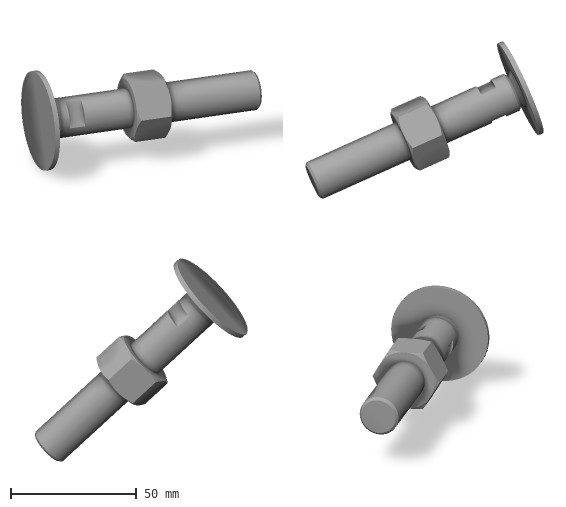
import cadquery as cq
import math

total_length = 92.0

plate_diameter = 40.0
plate_thickness = 2.0
neck_base_radius = 7.9
neck_height = 1.9
neck_top_radius = neck_base_radius - neck_height

stud_diameter = 16.0
stud_chamfer = 1.0
stud_start = plate_thickness + neck_height
stud_length = total_length - stud_start
flats_start = 10.5
flats_width = 6.5
across_flats = 12.0
flats_angle = 30.0

nut_sides = 6
nut_start = 37.5
nut_thickness = 14.8
nut_across_flats = 24.0
nut_across_corners = nut_across_flats / math.cos(math.pi / nut_sides)
nut_chamfer_angle = 30.0


def plane_at(height):
    """Plane across the axis, with its normal along +Y."""
    return cq.Plane(
        origin=(0, height - total_length / 2, 0),
        xDir=(1, 0, 0),
        normal=(0, 1, 0),
    )


def make_foot():
    plate = cq.Workplane(plane_at(0)).circle(plate_diameter / 2).extrude(plate_thickness)
    neck = (
        cq.Workplane(plane_at(plate_thickness))
        .circle(neck_base_radius)
        .workplane(offset=neck_height)
        .circle(neck_top_radius)
        .loft(ruled=True)
    )
    return plate.union(neck).solids()


def make_flats_cutter():
    """Everything around the stud outside a slab that spans the two parallel flats."""
    surround = cq.Workplane(plane_at(flats_start)).circle(stud_diameter).extrude(flats_width)
    slab = (
        cq.Workplane(plane_at(flats_start))
        .rect(across_flats, 2 * stud_diameter)
        .extrude(flats_width)
        .rotate((0, 0, 0), (0, 1, 0), -flats_angle)
    )
    return surround.cut(slab)


def make_stud():
    rod = (
        cq.Workplane(plane_at(stud_start))
        .circle(stud_diameter / 2)
        .extrude(stud_length)
        .faces("<Y or >Y")
        .chamfer(stud_chamfer)
    )
    return rod.cut(make_flats_cutter()).solids()


def make_nut():
    prism = (
        cq.Workplane(plane_at(nut_start))
        .polygon(nut_sides, nut_across_corners)
        .circle(stud_diameter / 2)
        .extrude(nut_thickness)
    )
    corner_depth = (nut_across_corners - nut_across_flats) / 2
    chamfer_height = corner_depth * math.tan(math.radians(nut_chamfer_angle))
    half_thickness = nut_thickness / 2
    envelope = (
        cq.Workplane("XY", origin=(0, nut_start + half_thickness - total_length / 2, 0))
        .moveTo(0, -half_thickness)
        .lineTo(nut_across_flats / 2, -half_thickness)
        .lineTo(nut_across_corners / 2, chamfer_height - half_thickness)
        .lineTo(nut_across_corners / 2, half_thickness - chamfer_height)
        .lineTo(nut_across_flats / 2, half_thickness)
        .lineTo(0, half_thickness)
        .close()
        .revolve(360, (0, 0, 0), (0, 1, 0))
    )
    return prism.intersect(envelope).solids()


foot = make_foot()
stud = make_stud()
nut = make_nut()

result = cq.Compound.makeCompound([foot.val(), stud.val(), nut.val()])